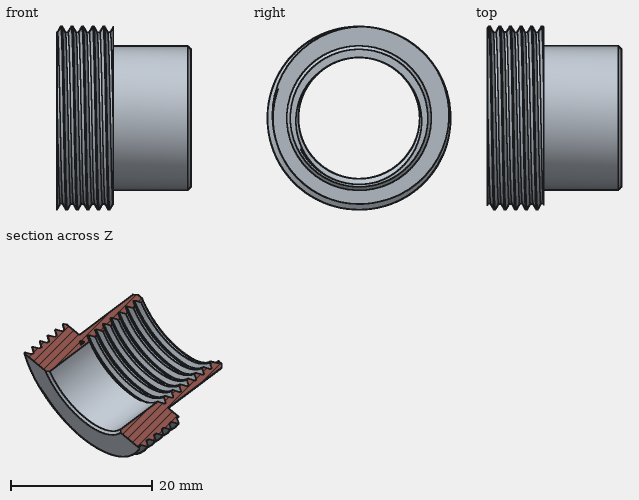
import cadquery as cq
import math

total_length = 19.0
flange_length = 8.0
flange_radius = 13.0
sleeve_radius = 10.25
sleeve_chamfer = 0.5
bore_radius = 8.58
bore_chamfer = 0.4

three_pitches = 4.5
pitch = three_pitches / 3
flank_angle = math.radians(30)
groove_floor = pitch / 4
crest_flat = pitch / 8
thread_depth = (pitch - groove_floor - crest_flat) / 2 / math.tan(flank_angle)
cut_overlap = 0.05

outer_groove_place = 1.01
outer_lead_turns = 2
bar_overhang = 3.9
bar_seam_angle = 37.0
inner_groove_start = 7.28
inner_start_angle = -31.0
inner_groove_floor = pitch / 8


def helical_groove(surface_radius, depth, floor_width, outward, start, end):
    """Cutter with a trapezoid section, going from a cylinder surface into the wall."""
    floor_radius = surface_radius + outward * depth
    open_radius = surface_radius - outward * cut_overlap
    half_floor = floor_width / 2
    half_open = half_floor + (depth + cut_overlap) * math.tan(flank_angle)
    corners = [
        (floor_radius, -half_floor),
        (open_radius, -half_open),
        (open_radius, half_open),
        (floor_radius, half_floor),
    ]
    helices = [
        cq.Wire.makeHelix(pitch, end - start, radius, center=cq.Vector(0, 0, start + shift))
        for radius, shift in corners
    ]
    sides = [
        cq.Face.makeRuledSurface(helices[i - 1], helices[i]).Faces()[0]
        for i in range(len(helices))
    ]
    ends = [
        cq.Face.makeFromWires(
            cq.Wire.makePolygon([helix.positionAt(place) for helix in helices], close=True)
        )
        for place in (0, 1)
    ]
    return cq.Workplane(obj=cq.Solid.makeSolid(cq.Shell.makeShell(sides + ends)))


sleeve = (
    cq.Workplane("XY")
    .circle(sleeve_radius)
    .extrude(total_length)
    .faces(">Z")
    .edges()
    .chamfer(sleeve_chamfer)
)

outer_groove = helical_groove(
    flange_radius, thread_depth, groove_floor, -1,
    outer_groove_place - outer_lead_turns * pitch, flange_length + pitch,
)
bar = (
    cq.Workplane("XY")
    .workplane(offset=-bar_overhang)
    .circle(flange_radius)
    .extrude(flange_length + 2 * bar_overhang)
    .rotate((0, 0, 0), (0, 0, 1), bar_seam_angle)
)
trim = cq.Workplane("XY").circle(2 * flange_radius).extrude(flange_length)
flange = bar.cut(outer_groove).intersect(trim)
body = flange.union(sleeve)

bore = cq.Workplane("XY").circle(bore_radius).extrude(total_length)
mouth = cq.Workplane(
    obj=cq.Solid.makeCone(bore_radius + bore_chamfer, bore_radius, bore_chamfer)
)
body = body.cut(bore).cut(mouth)

inner_groove = helical_groove(
    bore_radius, thread_depth, inner_groove_floor, 1,
    inner_groove_start, total_length + pitch,
).rotate((0, 0, 0), (0, 0, 1), inner_start_angle)
body = body.cut(inner_groove)

result = cq.Workplane(obj=body.solids().val().moved(cq.Location(cq.Plane.named("YZ"))))